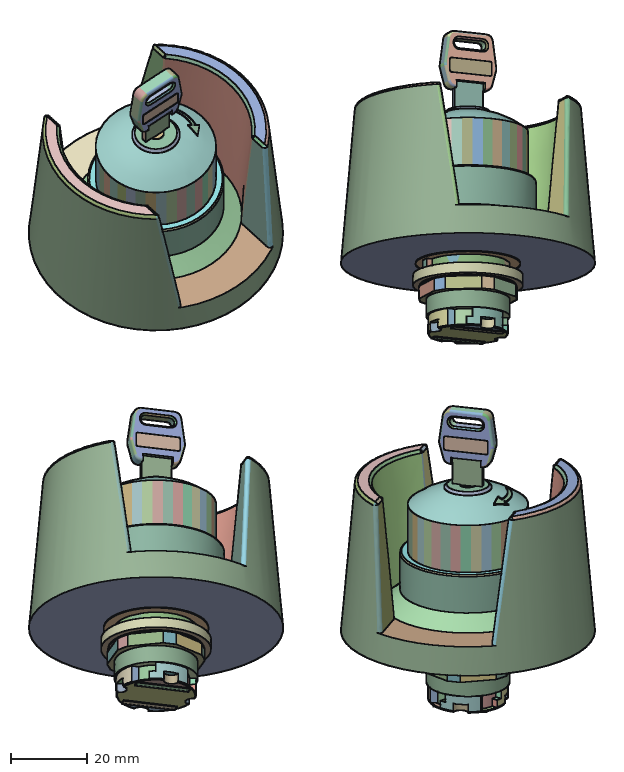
import cadquery as cq
import math

guard_height = 42.2
floor_height = 7.85
collar_base = 11.7
collar_top = 22.3
knob_top = 35.6
dome_top = 40.3
lock_top = 41.15

guard_base_radius = 33.5
guard_middle_radius = 31.6
guard_top_radius = 29.8
cup_top_radius = 25.35
cup_floor_radius = 22.6
slot_top_half_width = 18.0
slot_floor_half_width = 15.05
guard_edge_radius = 0.8

collar_radius = 17.9
collar_chamfer = 0.4
knob_radius = 15.9
knob_sides = 36
lock_radius = 6.3
lock_chamfer = 0.7
keyway_radius = 2.1
keyway_depth = 0.2

arrow_relief = 0.25
arrow_outer_radius = 11.6
arrow_inner_radius = 10.5
arrow_start_angle = 125
arrow_end_angle = 75
arrow_tip = (6.4, 9.0)
arrow_outer_barb = (3.35, 12.2)
arrow_inner_barb = (2.3, 9.0)

key_bottom = 46.9
key_waist = 52.85
key_top = 62.2
key_bottom_half_width = 6.0
key_waist_half_width = 7.6
key_top_half_width = 6.3
key_thickness = 3.85
key_corner_radius = 2.05
key_edge_radius = 0.6
ring_slot_length = 9.2
ring_slot_width = 2.5
ring_slot_height = 58.9
ring_slot_chamfer = 0.5
label_length = 12.1
label_width = 3.9
label_height = 52.8
label_corner_radius = 0.5
label_depth = 0.1
blade_width = 8.2
blade_thickness = 1.4
blade_top = 48.8

neck_radius = 11.0
neck_bottom = -14.5
gasket_radius = 13.8
gasket_thickness = 0.25
washer_radius = 14.5
washer_top = -3.3
washer_bottom = -6.05
nut_flange_radius = 12.7
nut_top = -6.4
nut_bottom = -9.8
nut_across_flats = 24.0
nut_across_corners = 25.6
lug_reach = 12.5
lug_width = 2.45
lug_bottom = -3.3
flat_depth = 0.2
flat_bottom = -3.0

quarter_turns = (0, 90, 180, 270)
bayonet_radius = 10.55
plate_radius = 10.3
plate_top = -19.1
bayonet_floor_radius = 8.8
bayonet_step = -16.9
bayonet_bottom = -19.4
groove_start_angle = -144.2
groove_floor_start_angle = -137.6
groove_upper_end_angle = -107.2
groove_lower_end_angle = -116.4
scallop_angle = -83.8
scallop_radius = 2.05
foot_bottom = -19.6
foot_width = 2.1
foot_length = 14.65
foot_offset = 6.2


def disc(radius, bottom, top):
    return cq.Workplane("XY").workplane(offset=bottom).circle(radius).extrude(top - bottom)


def polar(radius, angle):
    turn = math.radians(angle)
    return (radius * math.cos(turn), radius * math.sin(turn))


def make_guard():
    cup = (
        cq.Workplane("XZ")
        .lineTo(guard_base_radius, 0)
        .threePointArc((guard_middle_radius, guard_height / 2), (guard_top_radius, guard_height))
        .lineTo(cup_top_radius, guard_height)
        .lineTo(cup_floor_radius, floor_height)
        .lineTo(0, floor_height)
        .close()
        .revolve(360, (0, 0, 0), (0, 1, 0))
    )
    slot = (
        cq.Workplane("YZ")
        .polyline([
            (-slot_floor_half_width, floor_height),
            (slot_floor_half_width, floor_height),
            (slot_top_half_width, guard_height),
            (-slot_top_half_width, guard_height),
        ])
        .close()
        .extrude(guard_base_radius, both=True)
    )
    return cup.cut(slot)


def round_guard(guard):
    return guard.edges(">Z or %BSPLINE or %ELLIPSE").fillet(guard_edge_radius)


def make_actuator():
    cone = (
        cq.Workplane("XZ")
        .lineTo(cup_floor_radius, 0)
        .lineTo(cup_floor_radius, floor_height)
        .lineTo(collar_radius, collar_base)
        .lineTo(0, collar_base)
        .close()
        .revolve(360, (0, 0, 0), (0, 1, 0))
    )
    collar = disc(collar_radius, collar_base, collar_top).faces(">Z").chamfer(collar_chamfer)
    knob = (
        cq.Workplane("XY")
        .workplane(offset=collar_top)
        .polygon(knob_sides, 2 * knob_radius)
        .extrude(knob_top - collar_top)
    )
    lock = disc(lock_radius, knob_top, lock_top).faces(">Z").chamfer(lock_chamfer)
    keyway = disc(keyway_radius, lock_top - keyway_depth, lock_top)
    return cone.union(collar).union(knob).union(make_dome(0)).union(lock).cut(keyway)


def make_dome(relief):
    """Spherical cap over the knob, with its sphere grown outward by relief."""
    rim_radius = knob_radius * math.cos(math.pi / knob_sides)
    drop = dome_top - knob_top
    center_height = (
        dome_top**2 + lock_radius**2 - knob_top**2 - rim_radius**2
    ) / (2 * drop)
    sphere_radius = math.hypot(rim_radius, knob_top - center_height)
    sphere = cq.Workplane("XY").sphere(sphere_radius + relief).translate((0, 0, center_height))
    return sphere.intersect(disc(rim_radius, knob_top, lock_top))


def make_arrow():
    middle_angle = (arrow_start_angle + arrow_end_angle) / 2
    shaft = (
        cq.Workplane("XY")
        .workplane(offset=knob_top)
        .moveTo(*polar(arrow_inner_radius, arrow_start_angle))
        .lineTo(*polar(arrow_outer_radius, arrow_start_angle))
        .threePointArc(
            polar(arrow_outer_radius, middle_angle),
            polar(arrow_outer_radius, arrow_end_angle),
        )
        .lineTo(*polar(arrow_inner_radius, arrow_end_angle))
        .threePointArc(
            polar(arrow_inner_radius, middle_angle),
            polar(arrow_inner_radius, arrow_start_angle),
        )
        .close()
        .extrude(lock_top - knob_top)
    )
    head = (
        cq.Workplane("XY")
        .workplane(offset=knob_top)
        .polyline([arrow_tip, arrow_outer_barb, arrow_inner_barb])
        .close()
        .extrude(lock_top - knob_top)
    )
    return shaft.union(head).intersect(make_dome(arrow_relief))


def make_key():
    head = (
        cq.Workplane("YZ")
        .polyline([
            (-key_bottom_half_width, key_bottom),
            (key_bottom_half_width, key_bottom),
            (key_waist_half_width, key_waist),
            (key_top_half_width, key_top),
            (-key_top_half_width, key_top),
            (-key_waist_half_width, key_waist),
        ])
        .close()
        .extrude(key_thickness / 2, both=True)
        .edges("|X")
        .fillet(key_corner_radius)
        .faces("<X or >X")
        .edges()
        .fillet(key_edge_radius)
    )
    ring_slot = (
        cq.Workplane("YZ")
        .center(0, ring_slot_height)
        .slot2D(ring_slot_length, ring_slot_width)
        .extrude(key_thickness / 2, both=True)
    )
    blade_relief = cq.Workplane("XY").box(
        key_thickness, blade_width, blade_top - lock_top, centered=(True, True, False)
    ).translate((0, 0, lock_top))
    head = head.cut(ring_slot)
    head = head.edges(ring_slot_mouths()).chamfer(ring_slot_chamfer)
    head = head.cut(blade_relief)
    for side in (-1, 1):
        label = (
            cq.Workplane("XY")
            .box(2 * label_depth, label_length, label_width)
            .edges("|X")
            .fillet(label_corner_radius)
            .translate((side * key_thickness / 2, 0, label_height))
        )
        head = head.cut(label)
    blade_bottom = lock_top - keyway_depth
    blade = cq.Workplane("XY").box(
        blade_thickness, blade_width, blade_top - blade_bottom, centered=(True, True, False)
    ).translate((0, 0, blade_bottom))
    return head.union(blade)


def ring_slot_mouths():
    """Selects the two outlines where the ring slot opens on the faces of the key."""
    half_length = ring_slot_length / 2 + 0.1
    half_width = ring_slot_width / 2 + 0.1
    return cq.selectors.BoxSelector(
        (-key_thickness, -half_length, ring_slot_height - half_width),
        (key_thickness, half_length, ring_slot_height + half_width),
    ) - cq.selectors.ParallelDirSelector(cq.Vector(1, 0, 0))


def make_neck():
    neck = cut_neck_flats(disc(neck_radius, neck_bottom, 0))
    gasket = disc(gasket_radius, -gasket_thickness, 0)
    washer = disc(washer_radius, washer_bottom, washer_top)
    nut_flange = disc(nut_flange_radius, nut_top, washer_bottom)
    lug = cq.Workplane("XY").box(
        lug_width, lug_reach, -lug_bottom, centered=(True, False, False)
    ).translate((0, 0, lug_bottom))
    return neck.union(gasket).union(washer).union(nut_flange).union(make_nut()).union(lug)


def cut_neck_flats(neck):
    """Four slanted cuts at 45 degrees that fade out just above the washer."""
    wedge = (
        cq.Workplane("XZ")
        .moveTo(neck_radius, flat_bottom)
        .lineTo(neck_radius - flat_depth, -gasket_thickness)
        .lineTo(neck_radius + flat_depth, -gasket_thickness)
        .lineTo(neck_radius + flat_depth, flat_bottom)
        .close()
        .extrude(neck_radius / 2, both=True)
    )
    for turn in quarter_turns:
        neck = neck.cut(wedge.rotate((0, 0, 0), (0, 0, 1), turn + 45))
    return neck


def make_nut():
    """Hexagon with flats on +Y and -Y, its corners cut flat by a turned hexagon."""
    def hexagon(across_flats):
        return (
            cq.Workplane("XY")
            .workplane(offset=nut_bottom)
            .polygon(6, across_flats, circumscribed=True)
            .extrude(nut_top - nut_bottom)
        )

    nut = hexagon(nut_across_flats).rotate((0, 0, 0), (0, 0, 1), 30)
    return nut.intersect(hexagon(nut_across_corners))


def make_groove(end_angle, bottom, top):
    """Recess in the bayonet with a slanted starting wall and a radial end wall."""
    middle_angle = (groove_floor_start_angle + end_angle) / 2
    return (
        cq.Workplane("XY")
        .workplane(offset=bottom)
        .moveTo(*polar(bayonet_floor_radius, groove_floor_start_angle))
        .lineTo(*polar(bayonet_radius, groove_start_angle))
        .threePointArc(polar(neck_radius, middle_angle), polar(bayonet_radius, end_angle))
        .lineTo(*polar(bayonet_floor_radius, end_angle))
        .threePointArc(
            polar(bayonet_floor_radius, middle_angle),
            polar(bayonet_floor_radius, groove_floor_start_angle),
        )
        .close()
        .extrude(top - bottom)
    )


def make_bayonet():
    body = disc(bayonet_radius, plate_top, neck_bottom)
    plate = disc(plate_radius, bayonet_bottom, plate_top)
    bayonet = body.union(plate)

    upper_groove = make_groove(groove_upper_end_angle, bayonet_step, neck_bottom)
    lower_groove = make_groove(groove_lower_end_angle, plate_top, bayonet_step)
    scallop_x, scallop_y = polar(bayonet_radius, scallop_angle)
    scallop = disc(scallop_radius, bayonet_bottom, bayonet_step).translate((scallop_x, scallop_y, 0))
    notch = upper_groove.union(lower_groove).union(scallop)
    for turn in quarter_turns:
        bayonet = bayonet.cut(notch.rotate((0, 0, 0), (0, 0, 1), turn))

    for side in (-1, 1):
        foot = cq.Workplane("XY").box(
            foot_width, foot_length, bayonet_bottom - foot_bottom, centered=(True, True, False)
        ).translate((side * foot_offset, 0, foot_bottom))
        bayonet = bayonet.union(foot)
    return bayonet


result = (
    round_guard(make_guard())
    .union(make_actuator())
    .union(make_arrow())
    .union(make_key())
    .union(make_neck())
    .union(make_bayonet())
)